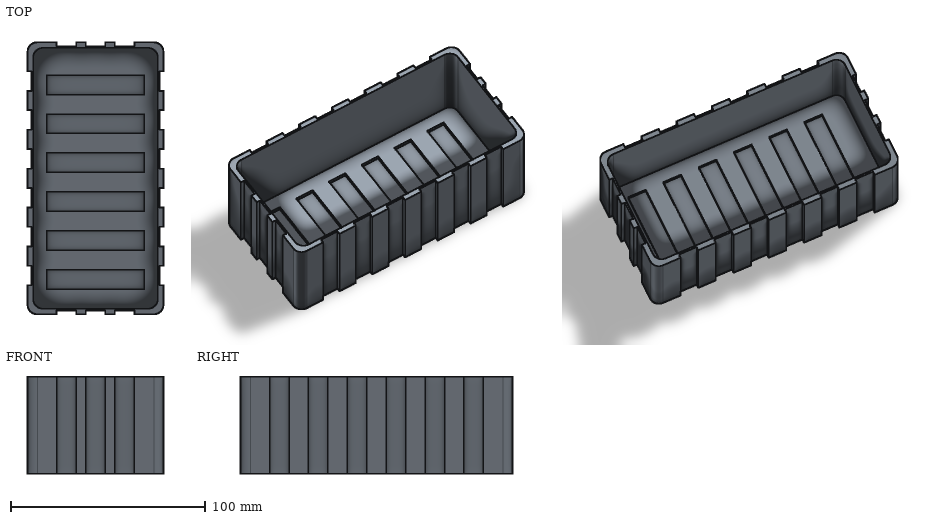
import cadquery as cq

length = 140.0
width = 70.0
height = 50.0
wall = 3.0
floor = 3.0

side_grooves = 6
side_pitch = length / (side_grooves + 1)
groove_width = side_pitch / 2
groove_depth = 2.0
end_grooves = 3
end_rib_width = groove_width / 2
end_pitch = groove_width + end_rib_width

corner_radius = groove_width / 2

pocket_count = 6
pocket_length = 50.0
pocket_width = groove_width
pocket_depth = 2.0
pocket_row_shift = -2.0


def rounded_block(size_x, size_y, base_z, top_z):
    """Upright block centred on the Z axis, with its four upright edges rounded."""
    block = cq.Workplane("XY").workplane(offset=base_z).rect(size_x, size_y).extrude(top_z - base_z)
    return block.edges("|Z").fillet(corner_radius)


def row_positions(count, pitch):
    """Evenly spaced positions centred on zero."""
    return [(i - (count - 1) / 2) * pitch for i in range(count)]


def cutters(points, size_x, size_y, base_z, top_z):
    """Identical upright boxes centred on the given points."""
    plane = cq.Workplane("XY").workplane(offset=base_z)
    return plane.pushPoints(points).rect(size_x, size_y).extrude(top_z - base_z)


tray = rounded_block(width, length, 0, height)
tray = tray.cut(rounded_block(width - 2 * wall, length - 2 * wall, floor, height))

side_points = [(sign * width / 2, y) for sign in (-1, 1) for y in row_positions(side_grooves, side_pitch)]
end_points = [(x, sign * length / 2) for sign in (-1, 1) for x in row_positions(end_grooves, end_pitch)]
tray = tray.cut(cutters(side_points, 2 * groove_depth, groove_width, 0, height))
tray = tray.cut(cutters(end_points, groove_width, 2 * groove_depth, 0, height))

pocket_points = [(0, y + pocket_row_shift) for y in row_positions(pocket_count, side_pitch)]
tray = tray.cut(cutters(pocket_points, pocket_length, pocket_width, floor - pocket_depth, floor))

result = tray